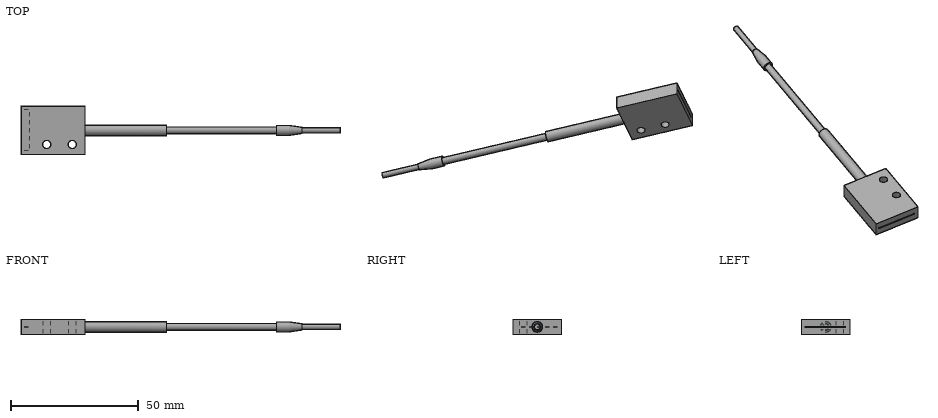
import cadquery as cq

head_length = 25.0
head_width = 19.0
head_height = 6.0

hole_diameter = 3.1
hole_edge_distance = 4.0
hole_positions_x = (10.0, 20.0)

insert_depth = 3.2
insert_height = 2.6

slit_width = 16.0
slit_height = 0.4
slit_offset_y = 0.2

sleeve_length = 32.0
sleeve_diameter = 4.2
cable_length = 43.0
cable_diameter = 2.8
collar_length = 5.0
collar_diameter = 4.0
cone_length = 5.0
cone_end_diameter = 2.5
tip_length = 15.0
tip_diameter = 2.2


def make_head():
    """Block with a notch for the insert and two mounting holes."""
    block = cq.Workplane("XY").box(head_length, head_width, head_height, centered=(False, True, True))
    notch = cq.Workplane("XY").box(insert_depth, head_width, insert_height, centered=(False, True, True))
    hole_y = hole_edge_distance - head_width / 2
    holes = (
        cq.Workplane("XY")
        .pushPoints([(x, hole_y) for x in hole_positions_x])
        .circle(hole_diameter / 2)
        .extrude(head_height / 2, both=True)
    )
    return block.cut(notch).cut(holes)


def make_insert():
    """Window bar with the light slit running through its depth."""
    bar = cq.Workplane("XY").box(insert_depth, head_width, insert_height, centered=(False, True, True))
    slit = (
        cq.Workplane("XY")
        .box(insert_depth, slit_width, slit_height, centered=(False, True, True))
        .translate((0, slit_offset_y, 0))
    )
    return bar.cut(slit)


def make_cable():
    """Stepped round body along X: sleeve, cable, collar, cone and tip."""
    sleeve_end = head_length + sleeve_length
    cable_end = sleeve_end + cable_length
    collar_end = cable_end + collar_length
    cone_end = collar_end + cone_length
    tip_end = cone_end + tip_length
    profile = [
        (head_length, 0),
        (head_length, sleeve_diameter / 2),
        (sleeve_end, sleeve_diameter / 2),
        (sleeve_end, cable_diameter / 2),
        (cable_end, cable_diameter / 2),
        (cable_end, collar_diameter / 2),
        (collar_end, collar_diameter / 2),
        (cone_end, cone_end_diameter / 2),
        (cone_end, tip_diameter / 2),
        (tip_end, tip_diameter / 2),
        (tip_end, 0),
    ]
    return cq.Workplane("XZ").polyline(profile).close().revolve(360, (0, 0, 0), (1, 0, 0))


result = make_head().union(make_insert(), clean=False).union(make_cable(), clean=False)